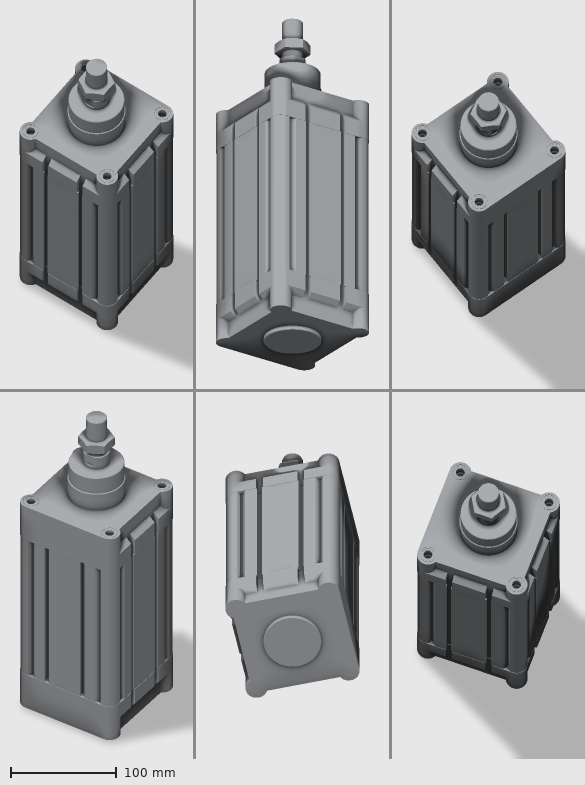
import cadquery as cq
import math


rear_boss_height = 4.0
rear_cap_top = 43.3
front_cap_base = 203.0
front_cap_top = 242.5
collar_step = 262.0
collar_top = 280.0
shoulder_top = 293.5
rod_top = 333.0

cap_half = 55.0
post_radius = 10.3
post_offset = cap_half - post_radius
web_half = 49.3
rib_depth = cap_half - web_half
rib_height = 17.0
slot_inner = 16.5
slot_outer = 23.3

collar_diameter = 55.0
collar_tip_diameter = 53.0
edge_chamfer = 0.5

screw_seat_diameter = 15.5
screw_head_diameter = 15.0
screw_gap_depth = 0.5
socket_steps = ((12.0, 0.3), (8.3, 10.0), (5.0, 13.3))

barrel_half = 54.5
barrel_corner_radius = barrel_half - post_offset
mouth_inner = 17.5
mouth_outer = 22.5
lip_thickness = 2.0
channel_floor = 48.3
groove_inner = 34.0
groove_outer = 41.5
groove_depth = 4.0
groove_wall = 39.3

thread_diameter = 20.0
rod_diameter = 25.0
flat_half_width = 11.0
flats_base = 283.0
rod_end_chamfer = 0.5

HEX_HALF_ANGLE = 30
nut_base = 300.5
nut_height = 10.0
nut_across_flats = 30.0
nut_across_corners = nut_across_flats / math.cos(math.radians(HEX_HALF_ANGLE))
nut_face_diameter = 29.5
nut_chamfer_width = (nut_across_corners - nut_face_diameter) / 2
nut_chamfer_height = 1.0

SIDE_ANGLES = (0, 90, 180, 270)
OPEN_SIDE_ANGLES = (0, 90, 270)
CORNERS = [(sx * post_offset, sy * post_offset) for sx in (-1, 1) for sy in (-1, 1)]
AXIS = ((0, 0, 0), (0, 0, 1))


def box(x_range, y_range, z_range):
    """Block between the given limits."""
    sizes = [high - low for low, high in (x_range, y_range, z_range)]
    corner = (x_range[0], y_range[0], z_range[0])
    return cq.Workplane("XY").box(*sizes, centered=False).translate(corner)


def disc(diameter, base, top):
    """Cylinder on the main axis between two heights."""
    return cq.Workplane("XY").workplane(offset=base).circle(diameter / 2).extrude(top - base)


def rib_row(height):
    """Ribs of the -Y side, from z = 0 up to sloped tops."""
    row = (
        cq.Workplane("YZ")
        .moveTo(-web_half, 0)
        .lineTo(-cap_half, 0)
        .lineTo(-cap_half, height)
        .lineTo(-web_half, height + rib_depth)
        .close()
        .extrude(post_offset, both=True)
    )
    slot_top = height + rib_depth
    for low, high in ((slot_inner, slot_outer), (-slot_outer, -slot_inner)):
        row = row.cut(box((low, high), (-cap_half, -web_half), (0, slot_top)))
    return row


def end_cap(height):
    """Cap with its barrel side at z = 0 and its outer face at the given height."""
    cap = box((-web_half, web_half), (-web_half, web_half), (0, height))
    cap = cap.union(box((-post_offset, post_offset), (0, cap_half), (0, height)))
    cap = cap.union(cq.Workplane("XY").pushPoints(CORNERS).circle(post_radius).extrude(height))
    ribs = rib_row(rib_height)
    for angle in OPEN_SIDE_ANGLES:
        cap = cap.union(ribs.rotate(*AXIS, angle))
    return cap


def corner_discs(diameter, depth):
    """Four discs on the tie rod axes, sunk into the outer face of the front cap."""
    plane = cq.Workplane("XY").workplane(offset=front_cap_top - depth)
    return plane.pushPoints(CORNERS).circle(diameter / 2).extrude(depth)


def screw_recesses():
    """Cutters for the gaps around the screw heads and for their stepped sockets."""
    seats = corner_discs(screw_seat_diameter, screw_gap_depth)
    cutters = seats.cut(corner_discs(screw_head_diameter, screw_gap_depth))
    for diameter, depth in socket_steps:
        cutters = cutters.union(corner_discs(diameter, depth))
    return cutters


def side_grooves(length):
    """Cutter for half of the -Y side: one T-slot and one corner groove."""
    face = -barrel_half
    groove_floor = face + groove_depth
    mouth = box((mouth_inner, mouth_outer), (face, -channel_floor), (0, length))
    channel = box((slot_inner, slot_outer), (face + lip_thickness, -channel_floor), (0, length))
    corner_groove = (
        cq.Workplane("XY")
        .moveTo(groove_inner, face)
        .lineTo(groove_inner + groove_depth, groove_floor)
        .lineTo(groove_wall, groove_floor)
        .lineTo(groove_wall, face + groove_outer - groove_wall)
        .lineTo(groove_outer, face)
        .close()
        .extrude(length)
    )
    return mouth.union(channel).union(corner_groove)


def make_barrel():
    length = front_cap_base - rear_cap_top
    barrel = (
        cq.Workplane("XY")
        .rect(2 * barrel_half, 2 * barrel_half)
        .extrude(length)
        .edges("|Z")
        .fillet(barrel_corner_radius)
    )
    half_side = side_grooves(length)
    whole_side = half_side.union(half_side.mirror("YZ"))
    for angle in SIDE_ANGLES:
        barrel = barrel.cut(whole_side.rotate(*AXIS, angle))
    return barrel.translate((0, 0, rear_cap_top))


def make_housing():
    """Barrel, both end caps, front collar and rear boss as one solid."""
    front_cap = end_cap(front_cap_top - front_cap_base).translate((0, 0, front_cap_base))
    rear_cap = end_cap(rear_cap_top - rear_boss_height).mirror("XY").translate((0, 0, rear_cap_top))
    collar = disc(collar_diameter, front_cap_top, collar_step).faces(">Z").chamfer(edge_chamfer)
    collar_tip = disc(collar_tip_diameter, collar_step, collar_top).faces(">Z").chamfer(edge_chamfer)
    rear_boss = disc(collar_diameter, 0, rear_boss_height).faces("<Z").chamfer(edge_chamfer)
    housing = make_barrel().union(front_cap).union(rear_cap)
    housing = housing.union(collar).union(collar_tip).union(rear_boss)
    housing = housing.cut(screw_recesses())
    return housing.cut(disc(rod_diameter, front_cap_base, collar_top))


def make_rod():
    """Rod with wrench flats on its shoulder and a slimmer, plain cylindrical end."""
    rod = disc(rod_diameter, front_cap_base, shoulder_top)
    rod_radius = rod_diameter / 2
    for low, high in ((flat_half_width, rod_radius), (-rod_radius, -flat_half_width)):
        rod = rod.cut(box((-rod_radius, rod_radius), (low, high), (flats_base, shoulder_top)))
    thread = disc(thread_diameter, shoulder_top, rod_top).faces(">Z").chamfer(rod_end_chamfer)
    return rod.union(thread)


def make_nut():
    """Hexagon nut with two flats facing X and its upper corners turned down."""
    nut = (
        cq.Workplane("XY")
        .polygon(6, nut_across_corners)
        .extrude(nut_height)
        .rotate(*AXIS, HEX_HALF_ANGLE)
    )
    turned_blank = (
        cq.Workplane("XY")
        .circle(nut_across_corners / 2)
        .extrude(nut_height)
        .faces(">Z")
        .chamfer(nut_chamfer_height, nut_chamfer_width)
    )
    nut = nut.intersect(turned_blank).translate((0, 0, nut_base))
    return nut.cut(disc(thread_diameter, nut_base, nut_base + nut_height))


housing = make_housing()
rod = make_rod()
nut = make_nut()

result = cq.Compound.makeCompound([housing.val(), rod.val(), nut.val()])